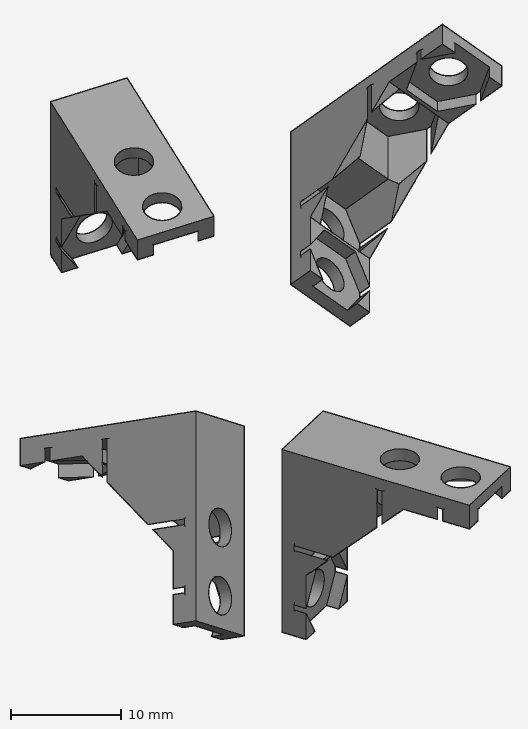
import cadquery as cq
import math

leg_length = 19.56
width = 7.62
leg_thickness = 2.54
gusset_reach = 12.70
hole_diameter = 3.56
hole_pitch = 6.35
outer_hole_distance = 16.51
nut_across_flats = 6.86
floor_thickness = 1.27

inner_hole_distance = outer_hole_distance - hole_pitch
nut_across_corners = nut_across_flats / math.cos(math.radians(30))
cut_depth = gusset_reach

horizontal_face = cq.Plane(origin=(0, 0, 0), xDir=(1, 0, 0), normal=(0, 0, 1))
vertical_face = cq.Plane(origin=(0, 0, 0), xDir=(0, 0, -1), normal=(-1, 0, 0))


def make_bracket():
    """Right-angle bracket with a sloping gusset, centred on Y = 0."""
    outline = [
        (0, 0),
        (leg_length, 0),
        (leg_length, -leg_thickness),
        (gusset_reach, -leg_thickness),
        (leg_thickness, -gusset_reach),
        (leg_thickness, -leg_length),
        (0, -leg_length),
    ]
    return cq.Workplane("XZ").polyline(outline).close().extrude(width / 2, both=True)


def make_hole(face, distance):
    """Round screw hole through the skin of a leg."""
    return cq.Workplane(face).center(distance, 0).circle(hole_diameter / 2).extrude(-leg_thickness)


def make_nut_pocket(face, distance):
    """Hexagonal pocket below the skin; its corners break out as narrow slots in both sides."""
    pocket_floor = cq.Workplane(face).workplane(offset=-floor_thickness).center(distance, 0)
    return pocket_floor.transformed(rotate=(0, 0, 90)).polygon(6, nut_across_corners).extrude(-cut_depth)


def make_gusset_zone(face):
    """Block reaching from the corner to the gusset's end along a leg."""
    zone_outline = cq.Workplane(face).center(gusset_reach / 2, 0)
    return zone_outline.rect(gusset_reach, 2 * width).extrude(-2 * cut_depth)


def cut_leg(bracket, face):
    """Cut both holes of a leg; the inner pocket stops at the gusset's end, leaving a dividing wall."""
    for distance in (inner_hole_distance, outer_hole_distance):
        bracket = bracket.cut(make_hole(face, distance))
    inner_pocket = make_nut_pocket(face, inner_hole_distance).intersect(make_gusset_zone(face))
    outer_pocket = make_nut_pocket(face, outer_hole_distance)
    return bracket.cut(inner_pocket).cut(outer_pocket)


result = make_bracket()
for leg_face in (horizontal_face, vertical_face):
    result = cut_leg(result, leg_face)